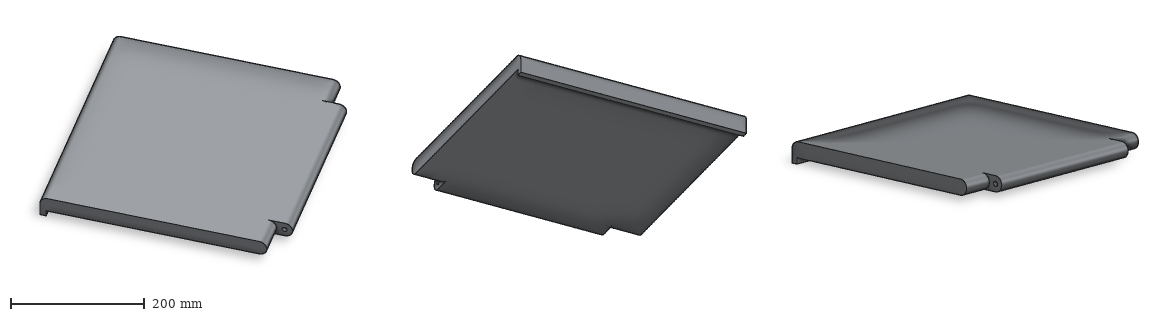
import cadquery as cq

length = 380.0
width = 380.0
height = 35.0
thickness = 25.0
edge_radius = thickness / 2

lip_thickness = 10.0
lip_drop = height - thickness

notch_depth = thickness
notch_width = 50.0
knuckle_width = width - 2 * notch_width
pin_diameter = 7.5
pin_hole_depth = notch_width


def panel_profile(end_x):
    """Side outline with a lipped, rounded front and a full-round rear edge."""
    arc_center_x = end_x - edge_radius
    return (
        cq.Workplane("XZ")
        .moveTo(0, 0)
        .lineTo(lip_thickness, 0)
        .lineTo(lip_thickness, lip_drop)
        .lineTo(arc_center_x, lip_drop)
        .threePointArc((end_x, lip_drop + edge_radius), (arc_center_x, height))
        .lineTo(edge_radius, height)
        .radiusArc((0, height - edge_radius), -edge_radius)
        .close()
    )


def pin_hole(side):
    """Blind hinge pin hole entering the knuckle end on the given side of Y (-1 or +1)."""
    return (
        cq.Workplane("XZ", origin=(0, side * knuckle_width / 2, 0))
        .center(length - edge_radius, lip_drop + edge_radius)
        .circle(pin_diameter / 2)
        .extrude(side * pin_hole_depth)
    )


main_panel = panel_profile(length - notch_depth).extrude(width / 2, both=True)
knuckle_panel = panel_profile(length).extrude(knuckle_width / 2, both=True)

result = main_panel.union(knuckle_panel)
for side in (-1, 1):
    result = result.cut(pin_hole(side))